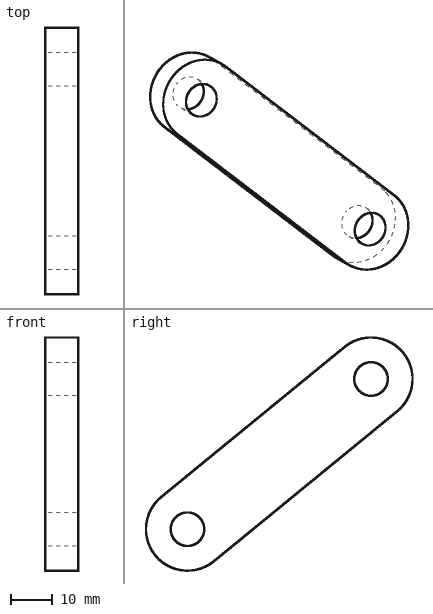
import cadquery as cq
import math

length_y = 64.1
height_z = 56.1
thickness = 8.0
end_radius = 10.0
hole_diameter = 8.0

span_y = length_y - 2 * end_radius
span_z = height_z - 2 * end_radius
centre_distance = math.hypot(span_y, span_z)
tilt_angle = math.degrees(math.atan2(span_z, span_y))

link_plane = cq.Workplane("YZ").transformed(rotate=(0, 0, tilt_angle))
link = link_plane.slot2D(centre_distance + 2 * end_radius, 2 * end_radius).extrude(thickness)
pin_holes = (
    link_plane.pushPoints([(-centre_distance / 2, 0), (centre_distance / 2, 0)])
    .circle(hole_diameter / 2)
    .extrude(thickness)
)

result = link.cut(pin_holes)